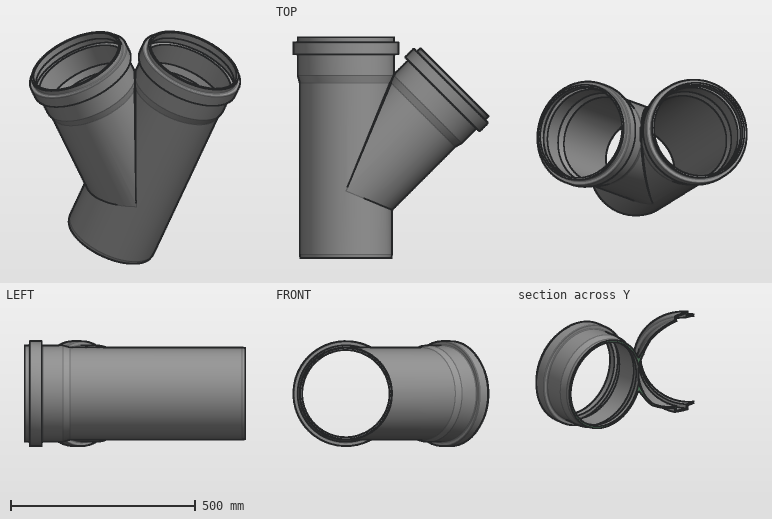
import cadquery as cq
import math


pipe_od = 250.8
pipe_bore = 236.3
overall_length = 599.0

socket_od = 262.1
socket_bore = 251.1
socket_depth = 103.0
taper_length = 20.0

collar_od = 285.5
groove_diameter = 274.5
collar_setback = 13.5
collar_width = 33.5
collar_wall = (collar_od - groove_diameter) / 2
collar_fillet = 1.8

chamfer_length = 10.0
chamfer_depth = 1.5

branch_angle = 45.0
branch_length = 416.6
crossing_y = overall_length - branch_length

half_angle = math.radians(branch_angle / 2)
web_thickness = 6.0
web_height = 5.0
web_start_angle = 88.0


def revolve_about_y(points):
    """Turn a closed (radius, y) outline about the Y axis."""
    return cq.Workplane("XY").polyline(points).close().revolve(360, (0, 0, 0), (0, 1, 0))


def socket_pipe_outside(mouth_y):
    """Solid outer form of a pipe that starts at y = 0 and ends in a socket."""
    pipe_r = pipe_od / 2
    socket_r = socket_od / 2
    collar_r = collar_od / 2
    taper_end = mouth_y - socket_depth
    collar_front = mouth_y - collar_setback
    collar_back = collar_front - collar_width
    body = revolve_about_y([
        (0, 0),
        (pipe_r, 0),
        (pipe_r, taper_end - taper_length),
        (socket_r, taper_end),
        (socket_r, collar_back),
        (collar_r, collar_back),
        (collar_r, collar_front),
        (socket_r, collar_front),
        (socket_r, mouth_y),
        (0, mouth_y),
    ])
    collar_edges = body.edges(cq.selectors.BoxSelector(
        (-collar_od, collar_back - collar_fillet, -collar_od),
        (collar_od, collar_front + collar_fillet, collar_od),
        boundingbox=True,
    ))
    return collar_edges.fillet(collar_fillet)


def socket_pipe_inside(mouth_y):
    """Hollow of the same pipe: bore, taper, socket and seal groove."""
    bore_r = pipe_bore / 2
    socket_r = socket_bore / 2
    groove_r = groove_diameter / 2
    taper_end = mouth_y - socket_depth
    groove_front = mouth_y - collar_setback - collar_wall
    groove_back = mouth_y - collar_setback - collar_width + collar_wall
    return revolve_about_y([
        (0, 0),
        (bore_r, 0),
        (bore_r, taper_end - taper_length),
        (socket_r, taper_end),
        (socket_r, groove_back),
        (groove_r, groove_back),
        (groove_r, groove_front),
        (socket_r, groove_front),
        (socket_r, mouth_y),
        (0, mouth_y),
    ])


def place_branch(shape):
    """Swing a shape built along +Y towards +X and move it to the axis crossing."""
    return shape.rotate((0, 0, 0), (0, 0, 1), -branch_angle).translate((0, crossing_y, 0))


def valley_web():
    """Web in the plane midway between the two axes, standing slightly proud of the valley.

    Pipe and socket both meet that plane in ellipses. The outline follows them,
    stretched along the valley so that it grows from nothing up to web_height.
    """
    pipe_r = pipe_od / 2
    socket_r = socket_od / 2
    valley_end = socket_r / math.sin(half_angle)
    stretch = 1 + web_height / valley_end

    taper_end = (branch_length - socket_depth) / math.cos(half_angle)
    taper_start = (branch_length - socket_depth - taper_length) / math.cos(half_angle)
    pipe_angle = math.degrees(math.acos(taper_start * math.sin(half_angle) / pipe_r))
    socket_angle = math.degrees(math.acos(taper_end * math.sin(half_angle) / socket_r))

    pipe_reach = pipe_r / math.sin(half_angle) * stretch
    socket_reach = valley_end * stretch

    def pipe_point(angle):
        turn = math.radians(angle)
        return (pipe_reach * math.cos(turn), pipe_r * math.sin(turn))

    def socket_point(angle):
        turn = math.radians(angle)
        return (socket_reach * math.cos(turn), socket_r * math.sin(turn))

    taper_middle = (taper_start + taper_end) / 2
    middle_rise = math.sqrt(((pipe_r + socket_r) / 2) ** 2 - (taper_middle * math.sin(half_angle)) ** 2)
    middle_reach = taper_middle * stretch

    mid_plane = cq.Plane(
        origin=(0, crossing_y, 0),
        xDir=(math.sin(half_angle), math.cos(half_angle), 0),
        normal=(math.cos(half_angle), -math.sin(half_angle), 0),
    )
    return (
        cq.Workplane(mid_plane)
        .moveTo(*pipe_point(-web_start_angle))
        .ellipseArc(pipe_reach, pipe_r, -web_start_angle, -pipe_angle)
        .threePointArc((middle_reach, -middle_rise), socket_point(-socket_angle))
        .ellipseArc(socket_reach, socket_r, -socket_angle, socket_angle)
        .threePointArc((middle_reach, middle_rise), pipe_point(pipe_angle))
        .ellipseArc(pipe_reach, pipe_r, pipe_angle, web_start_angle)
        .close()
        .extrude(web_thickness / 2, both=True)
    )


def spigot_chamfer_ring():
    """Material removed from the outer edge of the plain end."""
    pipe_r = pipe_od / 2
    return revolve_about_y([
        (pipe_r - chamfer_depth, 0),
        (pipe_r, 0),
        (pipe_r, chamfer_length),
    ])


outside = socket_pipe_outside(overall_length).union(place_branch(socket_pipe_outside(branch_length)))
outside = outside.union(valley_web())
inside = socket_pipe_inside(overall_length).union(place_branch(socket_pipe_inside(branch_length)))

result = outside.cut(inside).cut(spigot_chamfer_ring())